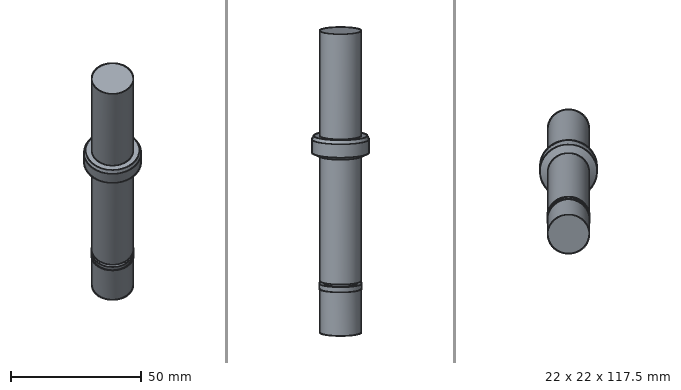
import cadquery as cq

shaft_diameter = 16.0
collar_diameter = 22.0
groove_diameter = 12.7
band_diameter = 16.5

total_length = 117.5
band_bottom = 17.0
groove_bottom = 19.0
groove_top = 20.1
collar_bottom = 68.6
collar_top = 76.6

top_bevel_height = 1.4
top_bevel_width = 0.7
bottom_cone_height = 1.4


def cylinder(diameter, bottom, top):
    """Cylinder on the Z axis between two heights."""
    return cq.Workplane("XY").workplane(offset=bottom).circle(diameter / 2).extrude(top - bottom)


def make_collar():
    """Collar with a bevelled top edge and a cone running down to the shaft."""
    shaft_radius = shaft_diameter / 2
    collar_radius = collar_diameter / 2
    profile = [
        (0, collar_bottom),
        (shaft_radius, collar_bottom),
        (collar_radius, collar_bottom + bottom_cone_height),
        (collar_radius, collar_top - top_bevel_height),
        (collar_radius - top_bevel_width, collar_top),
        (0, collar_top),
    ]
    return cq.Workplane("XZ").polyline(profile).close().revolve(360, (0, 0), (0, 1))


lower_shaft = cylinder(shaft_diameter, 0, groove_bottom)
band = cylinder(band_diameter, band_bottom, groove_bottom)
neck = cylinder(groove_diameter, groove_bottom, groove_top)
upper_shaft = cylinder(shaft_diameter, groove_top, total_length)

result = lower_shaft.union(band).union(neck).union(upper_shaft).union(make_collar())